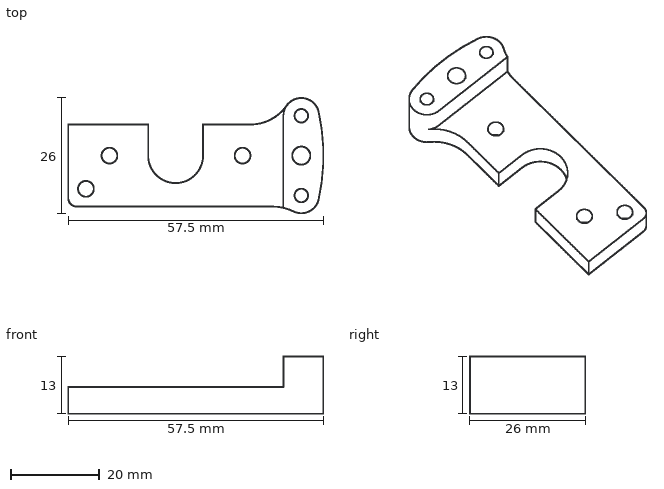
import cadquery as cq
import math

length = 57.55
plate_height = 6.1
total_height = 13.0
plate_back = 7.0
plate_front = -11.5
corner_radius = 2.0

lug_x = 52.55
lug_hole_offset = 9.0
lug_radius = 4.0
lug_left = lug_x - lug_radius
lug_hole_diameter = 3.0
lug_middle_hole_diameter = 4.0

blend_radius = 10.0

plate_hole_diameter = 3.5
plate_hole_centers = [(9.3, 0), (39.3, 0), (4.0, -7.5)]
slot_x = 24.2
slot_radius = 6.15


def polar(center, radius, angle):
    """Point on a circle, with the angle in radians."""
    return (center[0] + radius * math.cos(angle), center[1] + radius * math.sin(angle))


back_center = (lug_x, lug_hole_offset)
front_center = (lug_x, -lug_hole_offset)
nose = (length, 0)

nose_reach = length - lug_x
side_radius = (nose_reach**2 + lug_hole_offset**2 - lug_radius**2) / (2 * (nose_reach - lug_radius))
side_angle = math.asin(lug_hole_offset / (side_radius - lug_radius))
back_side = polar(back_center, lug_radius, side_angle)
front_side = polar(front_center, lug_radius, -side_angle)


def blend_geometry(edge_y, side):
    """Center of a blend and its angle toward the lug; side is 1 at the back, -1 at the front."""
    center_y = edge_y + side * blend_radius
    rise = side * lug_hole_offset - center_y
    run = math.sqrt((blend_radius + lug_radius) ** 2 - rise**2)
    return (lug_x - run, center_y), math.atan2(rise, run)


back_blend, back_angle = blend_geometry(plate_back, 1)
front_blend, front_angle = blend_geometry(plate_front, -1)
back_tangent = polar(back_blend, blend_radius, back_angle)
front_tangent = polar(front_blend, blend_radius, front_angle)

back_top = polar(back_center, lug_radius, math.pi / 2)
front_bottom = polar(front_center, lug_radius, -math.pi / 2)


def add_lug_end(outline):
    """Continue an outline around the lug, from its back circle to its front blend."""
    return (
        outline.threePointArc(back_top, back_side)
        .threePointArc(nose, front_side)
        .threePointArc(front_bottom, front_tangent)
    )


def make_plate():
    back_middle = polar(back_blend, blend_radius, (back_angle - math.pi / 2) / 2)
    front_middle = polar(front_blend, blend_radius, (front_angle + math.pi / 2) / 2)
    outline = (
        cq.Workplane("XY")
        .moveTo(0, plate_back)
        .lineTo(back_blend[0], plate_back)
        .threePointArc(back_middle, back_tangent)
    )
    outline = (
        add_lug_end(outline)
        .threePointArc(front_middle, (front_blend[0], plate_front))
        .lineTo(0, plate_front)
        .close()
    )
    plate = outline.extrude(plate_height)
    return plate.edges("|Z").edges("<X").edges("<Y").fillet(corner_radius)


def make_lug():
    cut_angle = math.acos((lug_left - front_blend[0]) / blend_radius)
    cut_point = polar(front_blend, blend_radius, cut_angle)
    blend_middle = polar(front_blend, blend_radius, (front_angle + cut_angle) / 2)
    outline = cq.Workplane("XY").moveTo(lug_left, lug_hole_offset)
    return add_lug_end(outline).threePointArc(blend_middle, cut_point).close().extrude(total_height)


def make_hole(center, diameter):
    return cq.Workplane("XY").center(*center).circle(diameter / 2).extrude(total_height)


def make_slot():
    """Round-bottomed slot open to the back edge."""
    return (
        cq.Workplane("XY")
        .moveTo(slot_x - slot_radius, plate_back)
        .lineTo(slot_x - slot_radius, 0)
        .threePointArc((slot_x, -slot_radius), (slot_x + slot_radius, 0))
        .lineTo(slot_x + slot_radius, plate_back)
        .close()
        .extrude(plate_height)
    )


result = make_plate().union(make_lug()).cut(make_slot())
for hole_center in plate_hole_centers:
    result = result.cut(make_hole(hole_center, plate_hole_diameter))
for hole_center in (back_center, front_center):
    result = result.cut(make_hole(hole_center, lug_hole_diameter))
result = result.cut(make_hole((lug_x, 0), lug_middle_hole_diameter))